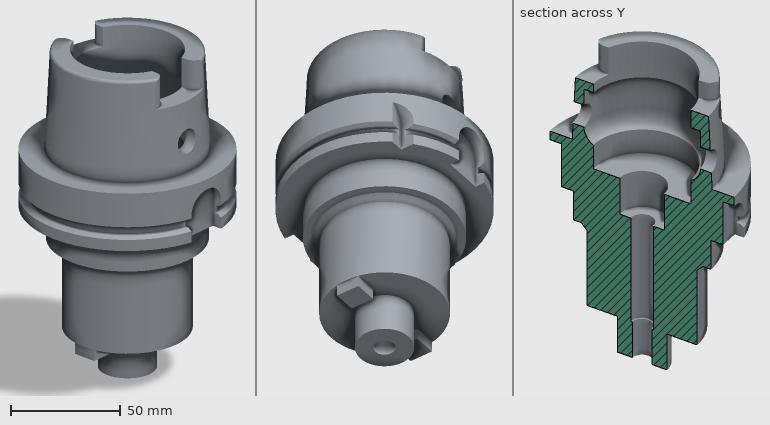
import cadquery as cq
import math


total_height = 160.0
nose_face_z = 20.0
nose_cone_bottom_z = 62.0
collar_bottom_z = 65.0
shank_height = 50.0
flange_thickness = 29.0
flange_top_z = total_height - shank_height
flange_bottom_z = flange_top_z - flange_thickness

spigot_radius = 13.6
nose_radius = 60.0 / 2
collar_radius = 37.5
flange_radius = 100.0 / 2
shank_base_radius = 38.0
shank_taper = 0.05
shank_top_radius = shank_base_radius - shank_taper * shank_height
shank_edge_fillet = 1.6

groove_center_z = flange_top_z - 20.2
groove_width = 3.8
groove_floor_radius = 46.2
groove_chamfer_height = 1.3
groove_chamfer_depth = 2.0

mouth_radius = 26.4
mouth_depth = 20.0
chamber_radius = 31.5
chamber_wall_depth = 40.6
chamber_round_radius = 9.6
well_radius = mouth_radius
well_depth = 62.2
coolant_socket_radius = 12.0
coolant_socket_depth = 20.0
coolant_bore_radius = 6.0
spigot_bore_radius = 5.1

slot_width = 20.0
slot_half = slot_width / 2
left_notch_depth = 10.0
right_notch_depth = 15.0
notch_relief_x = 32.2
notch_corner_radius = 5.0
keyway_floor_x = 44.0
keyway_arch_z = 95.0
index_pocket_floor_x = 31.8
index_pocket_y = 41.6

clamp_hole_radius = 12.0 / 2
clamp_hole_z = flange_top_z + 15.0

tenon_width = 12.0
tenon_height = 5.8
tenon_inner_y = 17.6
tenon_outer_y = 29.1

clearance = 8.0


def turned_body():
    half_floor = groove_width / 2
    half_mouth = half_floor + groove_chamfer_height
    chamfer_radius = flange_radius - groove_chamfer_depth
    nose_cone_radius = nose_radius + collar_bottom_z - nose_cone_bottom_z
    profile = [
        (0, 0),
        (spigot_radius, 0),
        (spigot_radius, nose_face_z),
        (nose_radius, nose_face_z),
        (nose_radius, nose_cone_bottom_z),
        (nose_cone_radius, collar_bottom_z),
        (collar_radius, collar_bottom_z),
        (collar_radius, flange_bottom_z),
        (flange_radius, flange_bottom_z),
        (flange_radius, groove_center_z - half_mouth),
        (chamfer_radius, groove_center_z - half_floor),
        (groove_floor_radius, groove_center_z - half_floor),
        (groove_floor_radius, groove_center_z + half_floor),
        (chamfer_radius, groove_center_z + half_floor),
        (flange_radius, groove_center_z + half_mouth),
        (flange_radius, flange_top_z),
        (shank_base_radius, flange_top_z),
        (shank_top_radius, total_height),
        (0, total_height),
    ]
    body = cq.Workplane("XZ").polyline(profile).close().revolve(360, (0, 0), (0, 1))
    return body.faces(">Z").edges().fillet(shank_edge_fillet)


def axial_bores():
    mouth_bottom_z = total_height - mouth_depth
    round_top_z = total_height - chamber_wall_depth
    well_floor_z = total_height - well_depth
    socket_floor_z = well_floor_z - coolant_socket_depth
    arc_center_x = chamber_radius - chamber_round_radius
    arc_angle = math.acos((well_radius - arc_center_x) / chamber_round_radius)
    arc_middle_x = arc_center_x + chamber_round_radius * math.cos(arc_angle / 2)
    arc_middle_z = round_top_z - chamber_round_radius * math.sin(arc_angle / 2)
    well_rim_z = round_top_z - chamber_round_radius * math.sin(arc_angle)
    return (
        cq.Workplane("XZ")
        .lineTo(spigot_bore_radius, 0)
        .lineTo(spigot_bore_radius, nose_face_z)
        .lineTo(coolant_bore_radius, nose_face_z)
        .lineTo(coolant_bore_radius, socket_floor_z)
        .lineTo(coolant_socket_radius, socket_floor_z)
        .lineTo(coolant_socket_radius, well_floor_z)
        .lineTo(well_radius, well_floor_z)
        .lineTo(well_radius, well_rim_z)
        .threePointArc((arc_middle_x, arc_middle_z), (chamber_radius, round_top_z))
        .lineTo(chamber_radius, mouth_bottom_z)
        .lineTo(mouth_radius, mouth_bottom_z)
        .lineTo(mouth_radius, total_height)
        .lineTo(0, total_height)
        .close()
        .revolve(360, (0, 0), (0, 1))
    )


def shank_notch(side, depth):
    """Slot across the shank rim whose outer corners are rounded; side is +1 or -1 along X."""
    corner = notch_corner_radius
    arc_offset = corner * math.sqrt(0.5)
    arc_x = notch_relief_x - corner
    arc_y = slot_half + corner
    far_x = shank_base_radius + clearance
    far_y = shank_base_radius
    outline = (
        cq.Workplane("XY")
        .workplane(offset=total_height - depth)
        .moveTo(0, -slot_half)
        .lineTo(side * arc_x, -slot_half)
        .threePointArc(
            (side * (arc_x + arc_offset), -arc_y + arc_offset),
            (side * notch_relief_x, -arc_y),
        )
        .lineTo(side * notch_relief_x, -far_y)
        .lineTo(side * far_x, -far_y)
        .lineTo(side * far_x, far_y)
        .lineTo(side * notch_relief_x, far_y)
        .lineTo(side * notch_relief_x, arc_y)
        .threePointArc(
            (side * (arc_x + arc_offset), arc_y - arc_offset),
            (side * arc_x, slot_half),
        )
        .lineTo(0, slot_half)
        .close()
    )
    return outline.extrude(depth)


def arched_slot(side, floor_x, center_y):
    """Slot in the flange rim, open below and arched on top, cut from outside in to floor_x."""
    length = flange_radius + clearance - floor_x
    return (
        cq.Workplane("YZ")
        .workplane(offset=side * floor_x)
        .moveTo(center_y - slot_half, flange_bottom_z)
        .lineTo(center_y - slot_half, keyway_arch_z)
        .threePointArc((center_y, keyway_arch_z + slot_half), (center_y + slot_half, keyway_arch_z))
        .lineTo(center_y + slot_half, flange_bottom_z)
        .close()
        .extrude(side * length)
    )


def clamp_hole():
    return (
        cq.Workplane("YZ")
        .center(0, clamp_hole_z)
        .circle(clamp_hole_radius)
        .extrude(shank_base_radius + clearance, both=True)
    )


def tenon(side):
    length = tenon_outer_y - tenon_inner_y
    middle_y = side * (tenon_outer_y + tenon_inner_y) / 2
    return (
        cq.Workplane("XY")
        .workplane(offset=nose_face_z)
        .center(0, middle_y)
        .rect(tenon_width, length)
        .extrude(-tenon_height)
    )


result = turned_body().cut(axial_bores())
for side, notch_depth in ((-1, left_notch_depth), (1, right_notch_depth)):
    result = result.cut(shank_notch(side, notch_depth))
    result = result.cut(arched_slot(side, keyway_floor_x, 0))
    result = result.union(tenon(side))
result = result.cut(arched_slot(-1, index_pocket_floor_x, index_pocket_y))
result = result.cut(clamp_hole())